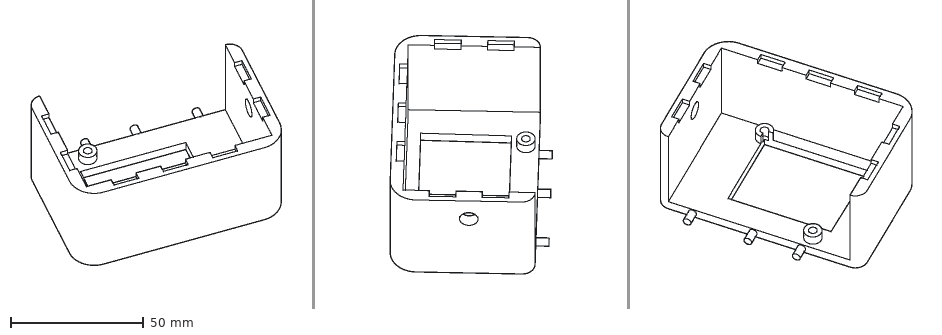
import cadquery as cq

length_x = 55.0
width_y = 85.0
height = 40.0
wall = 5.0
floor = 4.0
open_corner_radius = wall
closed_corner_radius = 10.0

pin_diameter = 3.2
pin_length = 5.0
pin_positions_y = (25.0, 45.0, 70.0)

window_left = 10.6
window_right = 45.0
window_back = 60.0
window_front_left = 17.5
window_front_right = 17.0

boss_diameter = 7.0
boss_hole_diameter = 3.2
boss_hole_depth = 5.0
boss_height = 4.0
boss_top = floor + boss_height
boss_centers = ((5.0, 22.5), (window_right, window_back))

notch_length = 10.0
notch_depth = 3.0
notch_height = 2.0
side_notch_centers_x = (15.0, 35.0)
closed_notch_spacing = 20.0
closed_notch_middle_y = 40.0

cable_hole_diameter = 7.0
cable_hole_x = 25.0
cable_hole_z = 30.0


def block(x_min, x_max, y_min, y_max, z_min, z_max):
    """Axis-aligned box given by its limits."""
    size = (x_max - x_min, y_max - y_min, z_max - z_min)
    return cq.Workplane("XY").box(*size, centered=False).translate((x_min, y_min, z_min))


def make_shell():
    """Round-cornered block hollowed from the top and the X = 0 side."""
    outer = block(0, length_x, 0, width_y, 0, height)
    outer = outer.edges("|Z and <X").fillet(open_corner_radius)
    outer = outer.edges("|Z and >X").fillet(closed_corner_radius)
    return outer.cut(block(0, length_x - wall, wall, width_y - wall, floor, height))


def make_boss_cylinders(diameter, base_z):
    """Cylinders from base_z up to the boss tops, one on each boss centre."""
    return (
        cq.Workplane("XY", origin=(0, 0, base_z))
        .pushPoints(boss_centers)
        .circle(diameter / 2)
        .extrude(boss_top - base_z)
    )


def make_bosses():
    """Solid posts standing on the floor."""
    return make_boss_cylinders(boss_diameter, floor)


def make_boss_holes():
    """Cutters for the blind holes, which end a little below the floor surface."""
    return make_boss_cylinders(boss_hole_diameter, boss_top - boss_hole_depth)


def make_pins():
    """Pins pointing outward from the open edge, at mid-thickness of the floor."""
    return (
        cq.Workplane("YZ")
        .pushPoints([(y, floor / 2) for y in pin_positions_y])
        .circle(pin_diameter / 2)
        .extrude(-pin_length)
    )


def make_window():
    """Cutter through the floor and through the boss standing on its corner."""
    return (
        cq.Workplane("XY")
        .moveTo(window_left, window_front_left)
        .lineTo(window_right, window_front_right)
        .lineTo(window_right, window_back)
        .lineTo(window_left, window_back)
        .close()
        .extrude(boss_top)
    )


def make_notches():
    """Cutters for the notches of the front, back and closed walls."""
    notch_floor = height - notch_height
    half = notch_length / 2
    inner_x = length_x - wall
    cutters = cq.Workplane("XY")
    for x in side_notch_centers_x:
        for y_min in (wall - notch_depth, width_y - wall):
            cutters = cutters.add(
                block(x - half, x + half, y_min, y_min + notch_depth, notch_floor, height)
            )
    for step in (-1, 0, 1):
        y = closed_notch_middle_y + step * closed_notch_spacing
        cutters = cutters.add(
            block(inner_x, inner_x + notch_depth, y - half, y + half, notch_floor, height)
        )
    return cutters.combine()


def make_cable_hole():
    """Cutter reaching from the outer back face through the wall."""
    return (
        cq.Workplane("XZ", origin=(0, width_y, 0))
        .center(cable_hole_x, cable_hole_z)
        .circle(cable_hole_diameter / 2)
        .extrude(wall)
    )


result = (
    make_shell()
    .union(make_bosses())
    .union(make_pins())
    .cut(make_boss_holes())
    .cut(make_window())
    .cut(make_notches())
    .cut(make_cable_hole())
)